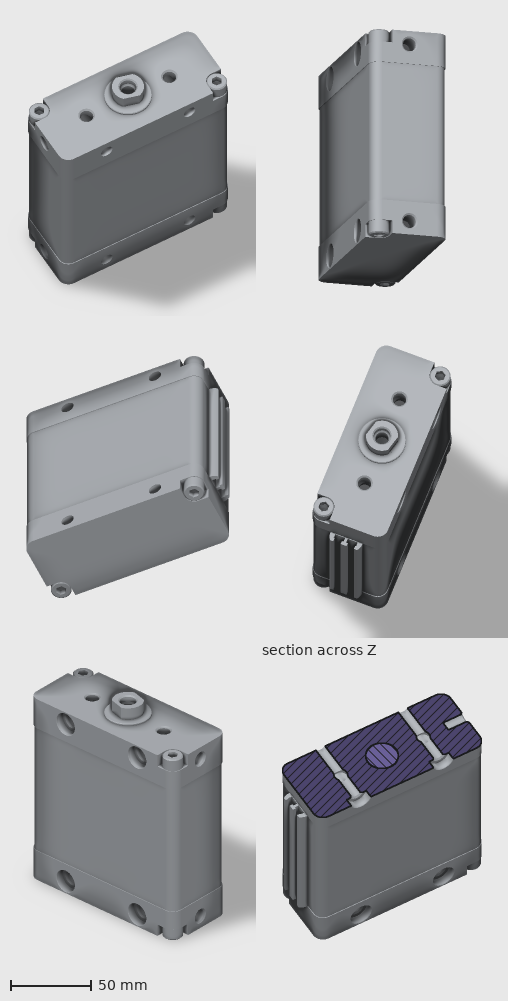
import cadquery as cq
import math

total_height = 142.0
cap_width = 50.0
cap_length = 121.3
cap_height = 21.3
body_height = 132.0
corner_radius = 7.0

barrel_inset = 0.4
barrel_bottom = cap_height
barrel_top = body_height - cap_height

rail_height = 5.3
rail_floor_height = 0.4
rail_lip_depth = 2.1
hook_root_half_width = 10.6
hook_bulge_half_width = 10.4
hook_bulge_height = 2.8
hook_tip_half_width = 9.0
hook_mouth_half_width = 7.0
hook_slot_half_width = 7.5
tee_head_half_width = 2.0
tee_stem_half_width = 0.9

pocket_diameter = 13.2
pocket_depth = 8.2
screw_head_diameter = 13.0
screw_top_diameter = 11.5
socket_across_flats = 6.0
socket_sides = 6
socket_turn = 30.0
socket_depth = 4.3
socket_tip_depth = 1.7

hole_half_pitch = 30.0
hole_end_distance = 8.7
hole_diameter = 8.4
hole_mouth_diameter = 10.4
counterbore_diameter = 15.0
counterbore_depth = 5.7
counterbore_chamfer = 0.3
threaded_hole_depth = 14.2

collar_diameter = 30.0
collar_height = 1.5
collar_chamfer = 0.4
rod_diameter = 20.0
rod_across_flats = 17.0
flat_angle = 15.0
rod_mouth_diameter = 12.2
rod_recess_diameter = 10.5
rod_recess_depth = 4.3
rod_bore_depth = 14.2
rod_bore_tip_depth = 2.4

corner_x = cap_width / 2 - corner_radius
corner_y = cap_length / 2 - corner_radius
collar_top = body_height + collar_height


def rounded_block(width, length, height, radius, bottom):
    """Upright block with rounded vertical edges."""
    block = cq.Workplane("XY").workplane(offset=bottom).rect(width, length).extrude(height)
    return block.edges("|Z").fillet(radius)


def hole_cutter(start, direction, depth):
    """Flat-bottomed hole with a 45 degree countersunk mouth, going from start along direction."""
    mouth_depth = (hole_mouth_diameter - hole_diameter) / 2
    hole = cq.Solid.makeCylinder(hole_diameter / 2, depth, start, direction)
    mouth = cq.Solid.makeCone(hole_mouth_diameter / 2, hole_diameter / 2, mouth_depth, start, direction)
    return hole.fuse(mouth)


def sensor_rail():
    """T-shaped middle rib and two hooked ribs on a shallow floor."""
    outline_y = cap_length / 2
    root_y = outline_y - barrel_inset
    floor_y = outline_y + rail_floor_height
    top_y = outline_y + rail_height
    lip_y = top_y - rail_lip_depth
    length = barrel_top - barrel_bottom
    hook = (
        cq.Workplane("XY")
        .workplane(offset=barrel_bottom)
        .moveTo(hook_root_half_width, root_y)
        .threePointArc(
            (hook_bulge_half_width, outline_y + hook_bulge_height),
            (hook_tip_half_width, top_y),
        )
        .lineTo(hook_mouth_half_width, top_y)
        .lineTo(hook_mouth_half_width, lip_y)
        .lineTo(hook_slot_half_width, lip_y)
        .lineTo(hook_slot_half_width, floor_y)
        .lineTo(0, floor_y)
        .lineTo(0, root_y)
        .close()
        .extrude(length)
    )
    tee = (
        cq.Workplane("XY")
        .workplane(offset=barrel_bottom)
        .moveTo(tee_stem_half_width, root_y)
        .lineTo(tee_stem_half_width, lip_y)
        .lineTo(tee_head_half_width, lip_y)
        .lineTo(tee_head_half_width, top_y)
        .lineTo(0, top_y)
        .lineTo(0, root_y)
        .close()
        .extrude(length)
    )
    half_rail = hook.union(tee)
    return half_rail.union(half_rail.mirror("YZ"))


def make_barrel():
    """Barrel block with the sensor rail along its +Y face."""
    block = rounded_block(
        cap_width - 2 * barrel_inset,
        cap_length - 2 * barrel_inset,
        barrel_top - barrel_bottom,
        corner_radius - barrel_inset,
        barrel_bottom,
    )
    return block.union(sensor_rail())


def corner_pocket():
    """Pocket at the +X, +Y corner: open to both sides, rounded around the screw head."""
    floor = body_height - pocket_depth
    radius = pocket_diameter / 2
    reach = radius + corner_radius
    pocket = (
        cq.Workplane("XY")
        .workplane(offset=floor)
        .center(corner_x - radius, corner_y - radius)
        .rect(reach, reach, centered=False)
        .extrude(pocket_depth)
    )
    return pocket.edges("|Z and <X and <Y").fillet(radius)


def screw_head():
    """Hexagon socket head at the +X, +Y corner, flush with the end face of the cap."""
    chamfer = (screw_head_diameter - screw_top_diameter) / 2
    head = (
        cq.Workplane("XY")
        .workplane(offset=body_height - pocket_depth)
        .center(corner_x, corner_y)
        .circle(screw_head_diameter / 2)
        .extrude(pocket_depth)
        .faces(">Z")
        .chamfer(chamfer)
    )
    across_corners = socket_across_flats / math.cos(math.pi / socket_sides)
    socket = (
        cq.Workplane("XY")
        .workplane(offset=body_height)
        .center(corner_x, corner_y)
        .transformed(rotate=(0, 0, socket_turn))
        .polygon(socket_sides, across_corners)
        .extrude(-socket_depth)
    )
    socket_tip = cq.Solid.makeCone(
        socket_across_flats / 2,
        0,
        socket_tip_depth,
        cq.Vector(corner_x, corner_y, body_height - socket_depth),
        cq.Vector(0, 0, -1),
    )
    return head.cut(socket).cut(socket_tip)


def side_hole_cutter(y):
    """Counterbored hole through the cap along X, entered from the -X side."""
    hole_z = body_height - hole_end_distance
    side = cq.Vector(-cap_width / 2, y, hole_z)
    inward = cq.Vector(1, 0, 0)
    mouth_radius = counterbore_diameter / 2 + counterbore_chamfer
    counterbore = cq.Solid.makeCylinder(counterbore_diameter / 2, counterbore_depth, side, inward)
    mouth = cq.Solid.makeCone(mouth_radius, counterbore_diameter / 2, counterbore_chamfer, side, inward)
    hole_start = side + inward * counterbore_depth
    hole = hole_cutter(hole_start, inward, cap_width - counterbore_depth)
    return counterbore.fuse(mouth).fuse(hole)


def plain_cap():
    """Cap in its upper position, with its integral screw heads, side holes and port, as used at both ends."""
    cap = rounded_block(cap_width, cap_length, cap_height, corner_radius, barrel_top)
    for turn in (0, 180):
        cap = cap.cut(corner_pocket().rotate((0, 0, 0), (0, 0, 1), turn))
        cap = cap.union(screw_head().rotate((0, 0, 0), (0, 0, 1), turn))
    for y in (-hole_half_pitch, hole_half_pitch):
        cap = cap.cut(side_hole_cutter(y))
    port_start = cq.Vector(0, -cap_length / 2, body_height - hole_end_distance)
    return cap.cut(hole_cutter(port_start, cq.Vector(0, 1, 0), threaded_hole_depth))


def make_bottom_cap():
    """Plain cap mirrored to the lower end."""
    middle = (0, 0, body_height / 2)
    return plain_cap().mirror("XY", middle)


def make_top_cap():
    """Plain cap with a rod collar, two threaded holes beside it and the rod passage."""
    collar = (
        cq.Workplane("XY")
        .workplane(offset=body_height)
        .circle(collar_diameter / 2)
        .extrude(collar_height)
        .faces(">Z")
        .chamfer(collar_chamfer)
    )
    rod_passage = (
        cq.Workplane("XY")
        .workplane(offset=barrel_top)
        .circle(rod_diameter / 2)
        .extrude(collar_top - barrel_top)
    )
    cap = plain_cap().union(collar).cut(rod_passage)
    for y in (-hole_half_pitch, hole_half_pitch):
        hole_start = cq.Vector(0, y, body_height)
        cap = cap.cut(hole_cutter(hole_start, cq.Vector(0, 0, -1), threaded_hole_depth))
    return cap


def rod_end_hole():
    """Stepped hole in the rod end: countersunk recess, tapered step, bore and conical tip."""
    mouth_depth = (rod_mouth_diameter - rod_recess_diameter) / 2
    step_depth = (rod_recess_diameter - hole_diameter) / 2
    recess_radius = rod_recess_diameter / 2
    bore_radius = hole_diameter / 2
    return (
        cq.Workplane("XZ")
        .moveTo(0, total_height)
        .lineTo(rod_mouth_diameter / 2, total_height)
        .lineTo(recess_radius, total_height - mouth_depth)
        .lineTo(recess_radius, total_height - rod_recess_depth)
        .lineTo(bore_radius, total_height - rod_recess_depth - step_depth)
        .lineTo(bore_radius, total_height - rod_bore_depth)
        .lineTo(0, total_height - rod_bore_depth - rod_bore_tip_depth)
        .close()
        .revolve(360, (0, 0, 0), (0, 1, 0))
    )


def make_rod():
    """Round rod with two wrench flats above the collar and a stepped hole in its end."""
    rod = (
        cq.Workplane("XY")
        .workplane(offset=barrel_top)
        .circle(rod_diameter / 2)
        .extrude(total_height - barrel_top)
    )
    flat_zone = (
        cq.Workplane("XY")
        .workplane(offset=collar_top)
        .rect(2 * rod_diameter, 2 * rod_diameter)
        .rect(rod_across_flats, 1.5 * rod_diameter)
        .extrude(total_height - collar_top)
        .rotate((0, 0, 0), (0, 0, 1), -flat_angle)
    )
    return rod.cut(flat_zone).cut(rod_end_hole())


barrel = make_barrel()
bottom_cap = make_bottom_cap()
top_cap = make_top_cap()
rod = make_rod()

result = cq.Compound.makeCompound([barrel.val(), bottom_cap.val(), top_cap.val(), rod.val()])